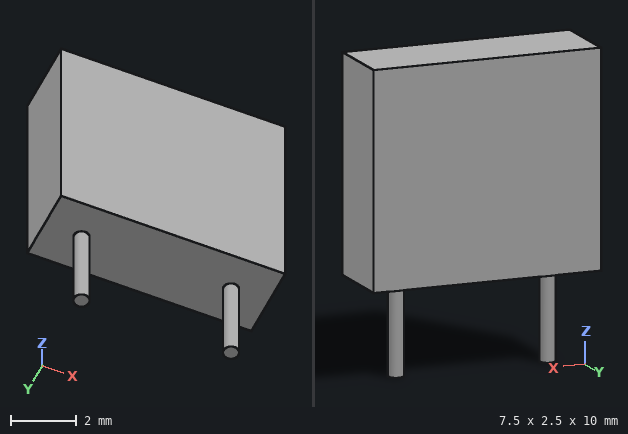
import cadquery as cq

body_width = 7.5
body_depth = 2.5
body_height = 7.0
lead_length = 3.0
lead_diameter = 0.5
lead_spacing = 5.0


def make_body():
    """Rectangular case standing on the plane Z = 0."""
    return cq.Workplane("XY").box(body_width, body_depth, body_height, centered=(True, True, False))


def make_lead(x_position):
    """Round lead hanging from the underside of the case."""
    return cq.Workplane("XY").center(x_position, 0).circle(lead_diameter / 2).extrude(-lead_length)


body = make_body()
leads = [make_lead(side * lead_spacing / 2) for side in (-1, 1)]

result = cq.Compound.makeCompound([body.val(), *[lead.val() for lead in leads]])